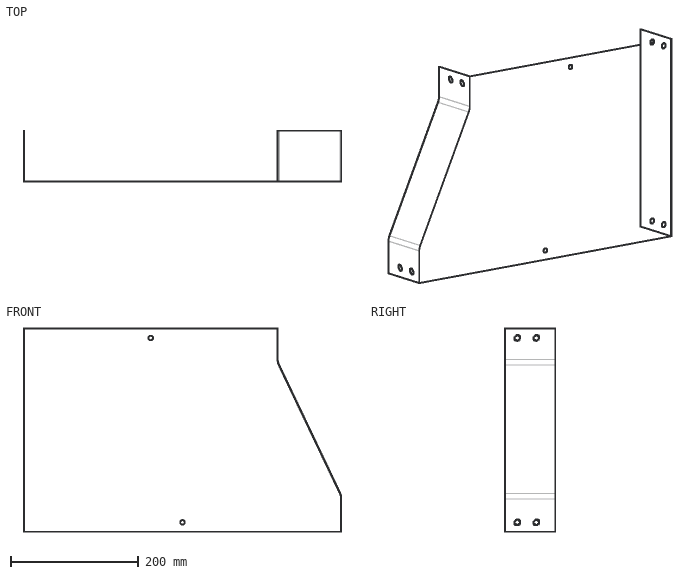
import cadquery as cq
import math

LENGTH = 500.0
DEPTH = 80.0
HEIGHT = 320.0
SHEET = 0.8

TOP_LENGTH = 400.0
UPPER_BEND_DROP = 53.0
UPPER_BEND_Z = HEIGHT - UPPER_BEND_DROP
LOWER_BEND_Z = 57.0
BEND_RADIUS = 20.0
SLOPE_ANGLE = math.atan2(LENGTH - TOP_LENGTH, UPPER_BEND_Z - LOWER_BEND_Z)

HOLE_DIAMETER = 7.0
HOLE_MARGIN = 15.0
UPPER_WEB_HOLE_X = 200.0
LOWER_WEB_HOLE_X = 250.0

SLOT_CENTER_SPAN = 3.5
SLOT_LENGTH = HOLE_DIAMETER + SLOT_CENTER_SPAN
SLOT_TILT = 45.0
SLOT_Y_POSITIONS = (20.0, 50.0)
SLOT_CUT_REACH = 2 * SHEET

RIGHT_FLANGE_AT_HEIGHT = ((HOLE_MARGIN, LENGTH), (HEIGHT - HOLE_MARGIN, TOP_LENGTH))


def side_profile(inset, depth):
    """Prism of the side outline, its left and right sides moved inward by inset."""
    corner_shift = inset * math.tan(SLOPE_ANGLE / 2)
    points = [
        (inset, 0),
        (LENGTH - inset, 0),
        (LENGTH - inset, LOWER_BEND_Z - corner_shift),
        (TOP_LENGTH - inset, UPPER_BEND_Z - corner_shift),
        (TOP_LENGTH - inset, HEIGHT),
        (inset, HEIGHT),
    ]
    prism = cq.Workplane("XZ").polyline(points).close().extrude(-depth)

    def bend_edge(x, z):
        return cq.selectors.NearestToPointSelector((x, depth / 2, z))

    prism = prism.edges(bend_edge(*points[2])).fillet(BEND_RADIUS - inset)
    return prism.edges(bend_edge(*points[3])).fillet(BEND_RADIUS + inset)


def bent_sheet():
    """Front web with a straight left flange and a bent right flange."""
    cavity = side_profile(SHEET, DEPTH).translate((0, SHEET, 0))
    return side_profile(0, DEPTH).cut(cavity)


def web_hole(x, z):
    """Cutter along Y through the web."""
    return cq.Workplane("XZ").center(x, z).circle(HOLE_DIAMETER / 2).extrude(-DEPTH)


def flange_slot(y, z, flange_x, tilt):
    """Cutter along X through one flange, tilted in the YZ plane."""
    slot = cq.Workplane("YZ").center(y, z).slot2D(SLOT_LENGTH, HOLE_DIAMETER, tilt)
    return slot.extrude(SLOT_CUT_REACH, both=True).translate((flange_x, 0, 0))


result = bent_sheet()
result = result.cut(web_hole(LOWER_WEB_HOLE_X, HOLE_MARGIN))
result = result.cut(web_hole(UPPER_WEB_HOLE_X, HEIGHT - HOLE_MARGIN))
for slot_y in SLOT_Y_POSITIONS:
    for slot_z, right_flange_x in RIGHT_FLANGE_AT_HEIGHT:
        result = result.cut(flange_slot(slot_y, slot_z, 0, -SLOT_TILT))
        result = result.cut(flange_slot(slot_y, slot_z, right_flange_x, SLOT_TILT))